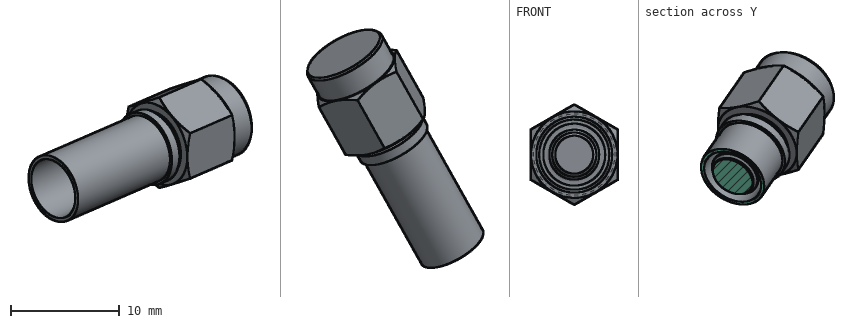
import cadquery as cq
import math

LENGTH = 22.15
FRONT_Y = -LENGTH / 2
BACK_Y = LENGTH / 2

TUBE_RADIUS = 3.23
BORE_RADIUS = 2.85

COLLAR_RADIUS = 3.5
COLLAR_START_Y = FRONT_Y + 11.95
COLLAR_LENGTH = 1.26
COLLAR_CHAMFER = 0.27
COLLAR_END_Y = COLLAR_START_Y + COLLAR_LENGTH
NECK_RADIUS = 3.17

HEX_ACROSS_FLATS = 8.02
HEX_CORNER_RADIUS = HEX_ACROSS_FLATS / math.sqrt(3)
HEX_LENGTH = 6.18
HEX_FACE_RADIUS = 3.99
HEX_CHAMFER_DEPTH = 0.35

SHOULDER_RADIUS = 3.9
SHOULDER_LENGTH = 2.5
SHOULDER_CHAMFER_DEPTH = 0.22
SHOULDER_CHAMFER_WIDTH = 0.15
HEX_END_Y = BACK_Y - SHOULDER_LENGTH
HEX_START_Y = HEX_END_Y - HEX_LENGTH

BORE_FLOOR_Y = COLLAR_START_Y
POST_LENGTH = 4.43
POST_TIP_RADIUS = 1.75
POST_RADIUS = 2.04
BARB_RADIUS = 2.3
BARB_SETBACK = 0.66
BARB_LAND = 0.22
ROOT_FILLET = 0.53


def cylinder(radius, start_y, end_y):
    """Solid cylinder about the Y axis."""
    plane = cq.Workplane("XZ", origin=(0, start_y, 0))
    return plane.circle(radius).extrude(start_y - end_y)


def revolve_profile(profile):
    """Revolve a closed (radius, y) outline about the Y axis."""
    return profile.close().revolve(360, (0, 0, 0), (0, 1, 0))


def make_tube():
    outer = cylinder(TUBE_RADIUS, FRONT_Y, COLLAR_END_Y)
    return outer.cut(cylinder(BORE_RADIUS, FRONT_Y, BORE_FLOOR_Y))


def make_collar():
    collar = cylinder(COLLAR_RADIUS, COLLAR_START_Y, COLLAR_END_Y)
    collar = collar.faces(">Y").chamfer(COLLAR_CHAMFER)
    collar = collar.cut(cylinder(BORE_RADIUS, FRONT_Y, BORE_FLOOR_Y))
    return collar.union(cylinder(NECK_RADIUS, COLLAR_START_Y, HEX_START_Y))


def make_hex():
    points = []
    for corner in range(6):
        angle = math.radians(90 + 60 * corner)
        x = HEX_CORNER_RADIUS * math.cos(angle)
        z = HEX_CORNER_RADIUS * math.sin(angle)
        points.append((x, z))
    plane = cq.Workplane("XZ", origin=(0, HEX_START_Y, 0))
    prism = plane.polyline(points).close().extrude(-HEX_LENGTH)
    envelope = cq.Workplane("XY").polyline([
        (0, HEX_START_Y),
        (HEX_FACE_RADIUS, HEX_START_Y),
        (HEX_CORNER_RADIUS, HEX_START_Y + HEX_CHAMFER_DEPTH),
        (HEX_CORNER_RADIUS, HEX_END_Y - HEX_CHAMFER_DEPTH),
        (HEX_FACE_RADIUS, HEX_END_Y),
        (0, HEX_END_Y),
    ])
    return prism.intersect(revolve_profile(envelope))


def make_shoulder():
    shoulder = cylinder(SHOULDER_RADIUS, HEX_END_Y, BACK_Y)
    return shoulder.faces(">Y").edges().chamfer(SHOULDER_CHAMFER_DEPTH, SHOULDER_CHAMFER_WIDTH)


def make_post():
    tip_y = BORE_FLOOR_Y - POST_LENGTH
    tip_taper_end_y = tip_y + POST_RADIUS - POST_TIP_RADIUS
    barb_start_y = tip_y + BARB_SETBACK
    barb_peak_y = barb_start_y + BARB_RADIUS - POST_RADIUS
    barb_end_y = barb_peak_y + BARB_LAND
    fillet_offset = ROOT_FILLET * (1 - math.sqrt(0.5))
    profile = (
        cq.Workplane("XY")
        .moveTo(0, tip_y)
        .lineTo(POST_TIP_RADIUS, tip_y)
        .lineTo(POST_RADIUS, tip_taper_end_y)
        .lineTo(POST_RADIUS, barb_start_y)
        .lineTo(BARB_RADIUS, barb_peak_y)
        .lineTo(BARB_RADIUS, barb_end_y)
        .lineTo(POST_RADIUS, barb_end_y)
        .lineTo(POST_RADIUS, BORE_FLOOR_Y - ROOT_FILLET)
        .threePointArc(
            (POST_RADIUS + fillet_offset, BORE_FLOOR_Y - fillet_offset),
            (POST_RADIUS + ROOT_FILLET, BORE_FLOOR_Y),
        )
        .lineTo(0, BORE_FLOOR_Y)
    )
    return revolve_profile(profile)


result = make_tube().union(make_collar()).union(make_hex()).union(make_shoulder()).union(make_post())